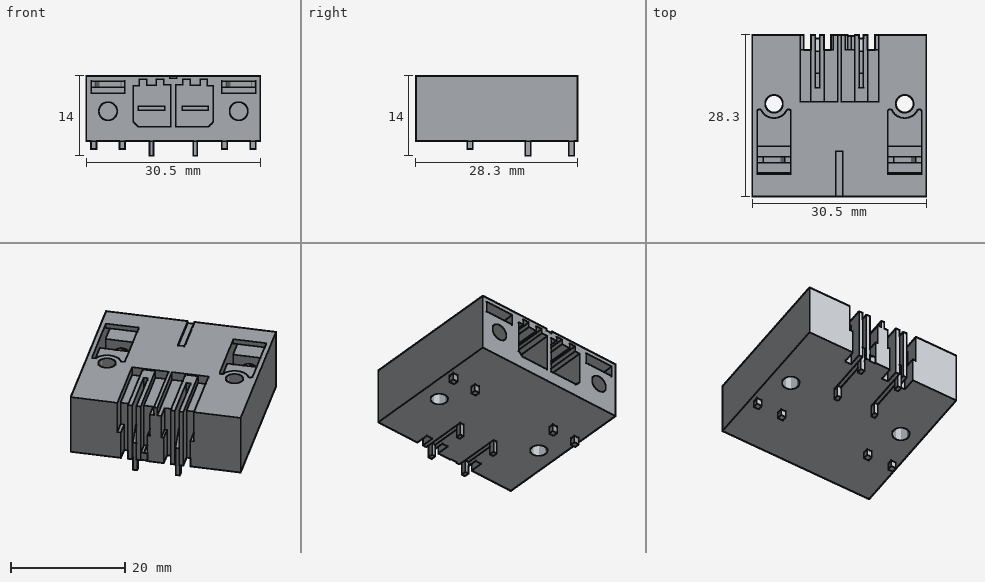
import cadquery as cq
import math


WIDTH = 30.48
LENGTH = 28.3
HEIGHT = 11.43

SOCKET_DEPTH = 14.87
SOCKET_INNER = 0.43
SOCKET_OUTER = 6.98
SOCKET_FLOOR_DOWN = 8.93
SOCKET_CHAMFER = 0.85
KEYWAY_TOP_DOWN = 0.65
INNER_CEILING_DOWN = 1.55
MIDDLE_CEILING_DOWN = 1.68
OUTER_CEILING_DOWN = 1.77
INNER_KEYWAY = (1.68, 2.95)
OUTER_KEYWAY = (4.65, 5.95)

CONTACT_SPACING = 7.65
CONTACT_THICKNESS = 0.75
CONTACT_BACK_GAP = 0.58
CONTACT_FRONT_FROM_BACK = 9.2
CONTACT_STEP_FROM_BACK = 6.7
CONTACT_SLOPE_FROM_BACK = 2.83
CONTACT_LEG = 1.0
CONTACT_LEG_LENGTH = 2.55
BLADE_WIDTH = 4.57
BLADE_THICKNESS = 0.75
BLADE_CENTRE_DOWN = 5.67
BLADE_TIP_Y = 6.1

CHANNEL_LENGTH = 11.7
CHANNEL_INNER = 0.3
CHANNEL_OUTER = 6.85
CHANNEL_DOWN = 1.62
RIB_WIDTH = 2.3
RIB_DROP = 0.2
NOTCH_LENGTH = 2.6
NOTCH_INNER = 1.45
NOTCH_OUTER = 6.22
LEDGE_INNER = 1.05
LEDGE_DOWN = 6.1

WEB_HEIGHT = 1.52
WEB_BACK_GAP = 0.15
WEB_CURVE_WIDTH = 0.65
WEB_CURVE_RADIUS = 1.68

FLANGE_X = 11.43
MOUNTING_HOLE_DIAMETER = 3.05
MOUNTING_HOLE_FROM_BACK = 12.05
SCREW_HOLE_DIAMETER = 3.2
SCREW_AXIS_DOWN = 6.2
POCKET_WIDTH = 5.9
POCKET_FRONT_Y = 3.93
POCKET_FLOOR_DOWN = 2.0
POCKET_HORN_RADIUS = 0.4
BOSS_RADIUS = 2.5
PIT_FRONT_Y = 4.18
PIT_BACK_FROM_BACK = 19.5
PIT_FLOOR_DOWN = 8.53
WINDOW_TOP_DOWN = 0.9
WINDOW_BOTTOM_DOWN = 3.05
SADDLE_BACK_FROM_BACK = 21.35
SADDLE_THICKNESS = 1.0
SADDLE_DIAMETER = 3.8

GROOVE_WIDTH = 1.2
GROOVE_DEPTH = 0.4
GROOVE_LENGTH = 8.0

PIN_SIZE = 1.0
PIN_SPACING = 5.0
PIN_LENGTH = 1.4
PIN_EMBED = 1.83
PIN_BACK_FROM_BACK = 18.32

CONTACT_XS = (-CONTACT_SPACING / 2, CONTACT_SPACING / 2)
FLANGE_XS = (-FLANGE_X, FLANGE_X)
PIN_OFFSETS = (-PIN_SPACING / 2, PIN_SPACING / 2)


def box(x0, x1, y0, y1, z0, z1):
    return cq.Workplane("XY").box(x1 - x0, y1 - y0, z1 - z0, centered=False).translate((x0, y0, z0))


def box_at(centre_x, width, y0, y1, z0, z1):
    return box(centre_x - width / 2, centre_x + width / 2, y0, y1, z0, z1)


def down(distance):
    """Height of a level given by its distance below the top face."""
    return HEIGHT - distance


def from_back(distance):
    """Y of a plane given by its distance from the back face."""
    return LENGTH - distance


def cylinder_along_y(x, z, diameter, y0, y1):
    return cq.Workplane("XZ", origin=(x, y0, z)).circle(diameter / 2).extrude(y0 - y1)


def right_and_left(shape):
    return shape.union(shape.mirror("YZ"))


def make_sockets():
    ceiling = [
        (SOCKET_INNER, INNER_CEILING_DOWN),
        (INNER_KEYWAY[0], INNER_CEILING_DOWN),
        (INNER_KEYWAY[0], KEYWAY_TOP_DOWN),
        (INNER_KEYWAY[1], KEYWAY_TOP_DOWN),
        (INNER_KEYWAY[1], MIDDLE_CEILING_DOWN),
        (OUTER_KEYWAY[0], MIDDLE_CEILING_DOWN),
        (OUTER_KEYWAY[0], KEYWAY_TOP_DOWN),
        (OUTER_KEYWAY[1], KEYWAY_TOP_DOWN),
        (OUTER_KEYWAY[1], OUTER_CEILING_DOWN),
        (SOCKET_OUTER, OUTER_CEILING_DOWN),
    ]
    floor = [
        (SOCKET_OUTER, SOCKET_FLOOR_DOWN - SOCKET_CHAMFER),
        (SOCKET_OUTER - SOCKET_CHAMFER, SOCKET_FLOOR_DOWN),
        (SOCKET_INNER, SOCKET_FLOOR_DOWN),
    ]
    outline = [(across, down(depth)) for across, depth in ceiling + floor]
    socket = cq.Workplane("XZ").polyline(outline).close().extrude(-SOCKET_DEPTH)
    return right_and_left(socket)


def make_rear_channels():
    """Open-backed channels with through notches, leaving a full-depth rib around each contact."""
    rib_x = CONTACT_SPACING / 2
    start = from_back(CHANNEL_LENGTH)
    notch_start = from_back(NOTCH_LENGTH)
    recess = box(CHANNEL_INNER, CHANNEL_OUTER, start, LENGTH, down(CHANNEL_DOWN), HEIGHT)
    ledges = box(LEDGE_INNER, CHANNEL_OUTER, notch_start, LENGTH, down(LEDGE_DOWN), HEIGHT)
    notches = box(NOTCH_INNER, NOTCH_OUTER, notch_start, LENGTH, 0, HEIGHT)
    rib = box_at(rib_x, RIB_WIDTH, start, LENGTH, 0, down(RIB_DROP))
    above_rib = box_at(rib_x, RIB_WIDTH, start, LENGTH, down(RIB_DROP), HEIGHT)
    channel = recess.union(ledges).union(notches).cut(rib).union(above_rib)
    return right_and_left(channel)


def make_notch_web():
    """Low web in the inner right-hand notch; its top rises in a shallow arc, then drops to a flat."""
    rib_side = CONTACT_SPACING / 2 - RIB_WIDTH / 2
    curve_end = NOTCH_INNER + WEB_CURVE_WIDTH
    full_angle = math.asin(WEB_CURVE_WIDTH / WEB_CURVE_RADIUS)

    def curve_point(angle):
        across = NOTCH_INNER + WEB_CURVE_RADIUS * math.sin(angle)
        return across, WEB_HEIGHT + WEB_CURVE_RADIUS * (1 - math.cos(angle))

    profile = (
        cq.Workplane("XZ", origin=(0, from_back(NOTCH_LENGTH), 0))
        .moveTo(NOTCH_INNER, 0)
        .lineTo(*curve_point(0))
        .threePointArc(curve_point(full_angle / 2), curve_point(full_angle))
        .lineTo(curve_end, WEB_HEIGHT)
        .lineTo(rib_side, WEB_HEIGHT)
        .lineTo(rib_side, 0)
        .close()
    )
    return profile.extrude(WEB_BACK_GAP - NOTCH_LENGTH)


def make_blade(x):
    blade_bottom = down(BLADE_CENTRE_DOWN) - BLADE_THICKNESS / 2
    return box_at(
        x, BLADE_WIDTH, BLADE_TIP_Y, from_back(CONTACT_FRONT_FROM_BACK),
        blade_bottom, blade_bottom + BLADE_THICKNESS,
    )


def make_contact_seat(x):
    """Slot for the contact plate, open at top, bottom and back, plus the passage for its blade."""
    slot = box_at(x, CONTACT_THICKNESS, from_back(CONTACT_FRONT_FROM_BACK), LENGTH, 0, HEIGHT)
    return slot.union(make_blade(x))


def make_flange_pocket(x):
    """Recess in the top face whose rear end wraps around the mounting-hole boss."""
    half = POCKET_WIDTH / 2
    boss_y = from_back(MOUNTING_HOLE_FROM_BACK)
    horn_x = half - POCKET_HORN_RADIUS
    horn_reach = BOSS_RADIUS + POCKET_HORN_RADIUS
    horn_drop = math.sqrt(horn_reach**2 - horn_x**2)
    horn_y = boss_y - horn_drop
    tangent_x = horn_x * BOSS_RADIUS / horn_reach
    tangent_y = boss_y - horn_drop * BOSS_RADIUS / horn_reach
    tip_y = horn_y + POCKET_HORN_RADIUS
    outline = (
        cq.Workplane("XY", origin=(x, 0, down(POCKET_FLOOR_DOWN)))
        .moveTo(-half, POCKET_FRONT_Y)
        .lineTo(half, POCKET_FRONT_Y)
        .lineTo(half, horn_y)
        .threePointArc((horn_x, tip_y), (tangent_x, tangent_y))
        .threePointArc((0, boss_y - BOSS_RADIUS), (-tangent_x, tangent_y))
        .threePointArc((-horn_x, tip_y), (-half, horn_y))
        .close()
    )
    return outline.extrude(POCKET_FLOOR_DOWN)


def make_flange_cut(x):
    """Pocket, deep pit with a half-round saddle, front window and the two holes of one flange."""
    pit_back = from_back(PIT_BACK_FROM_BACK)
    saddle_back = from_back(SADDLE_BACK_FROM_BACK)
    saddle_front = saddle_back - SADDLE_THICKNESS
    axis_z = down(SCREW_AXIS_DOWN)

    well = box_at(x, POCKET_WIDTH, POCKET_FRONT_Y, pit_back, down(WINDOW_BOTTOM_DOWN), HEIGHT)
    pit = box_at(x, POCKET_WIDTH, PIT_FRONT_Y, pit_back, down(PIT_FLOOR_DOWN), HEIGHT)
    window = box_at(x, POCKET_WIDTH, 0, pit_back, down(WINDOW_BOTTOM_DOWN), down(WINDOW_TOP_DOWN))
    saddle = box_at(x, POCKET_WIDTH, saddle_front, saddle_back, down(PIT_FLOOR_DOWN), axis_z)
    saddle = saddle.cut(cylinder_along_y(x, axis_z, SADDLE_DIAMETER, saddle_front, saddle_back))
    screw_hole = cylinder_along_y(x, axis_z, SCREW_HOLE_DIAMETER, 0, PIT_FRONT_Y)
    mounting_hole = (
        cq.Workplane("XY", origin=(x, from_back(MOUNTING_HOLE_FROM_BACK), 0))
        .circle(MOUNTING_HOLE_DIAMETER / 2)
        .extrude(HEIGHT)
    )
    cut = make_flange_pocket(x).union(well).union(pit).union(window).cut(saddle)
    return cut.union(screw_hole).union(mounting_hole)


def make_housing(pins):
    body = box_at(0, WIDTH, 0, LENGTH, 0, HEIGHT)
    body = body.cut(make_sockets()).cut(make_rear_channels()).union(make_notch_web())
    body = body.cut(box_at(0, GROOVE_WIDTH, 0, GROOVE_LENGTH, down(GROOVE_DEPTH), HEIGHT))
    for x in CONTACT_XS:
        body = body.cut(make_contact_seat(x))
    for x in FLANGE_XS:
        body = body.cut(make_flange_cut(x))
    for pin in pins:
        body = body.cut(pin)
    return body


def make_contact(x):
    """Upright stepped plate with two solder legs, carrying a flat blade into the socket."""
    front = from_back(CONTACT_FRONT_FROM_BACK)
    back = from_back(CONTACT_BACK_GAP)
    slope_start = from_back(CONTACT_SLOPE_FROM_BACK)
    step = from_back(CONTACT_STEP_FROM_BACK)
    high = down(BLADE_CENTRE_DOWN) + BLADE_THICKNESS / 2
    low = high - BLADE_THICKNESS
    slope_end = low - (back - slope_start)
    outline = [
        (front, -CONTACT_LEG_LENGTH),
        (front, high),
        (step, high),
        (step, low),
        (slope_start, low),
        (back, slope_end),
        (back, -CONTACT_LEG_LENGTH),
        (back - CONTACT_LEG, -CONTACT_LEG_LENGTH),
        (back - CONTACT_LEG, 0),
        (front + CONTACT_LEG, 0),
        (front + CONTACT_LEG, -CONTACT_LEG_LENGTH),
    ]
    plate = cq.Workplane("YZ", origin=(x, 0, 0)).polyline(outline).close()
    return plate.extrude(CONTACT_THICKNESS / 2, both=True).union(make_blade(x))


def make_fixing_pin(x):
    back = from_back(PIN_BACK_FROM_BACK)
    return box_at(x, PIN_SIZE, back - PIN_SIZE, back, -PIN_LENGTH, PIN_EMBED)


pins = [make_fixing_pin(x + offset) for x in FLANGE_XS for offset in PIN_OFFSETS]
contacts = [make_contact(x) for x in CONTACT_XS]
housing = make_housing(pins)

result = cq.Compound.makeCompound([
    housing.val(),
    *[contact.val() for contact in contacts],
    *[pin.val() for pin in pins],
])